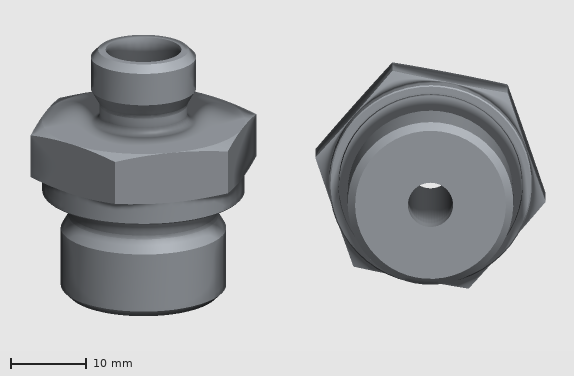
import cadquery as cq
import math

total_height = 34.0
hex_top = 24.0
hex_bottom = 17.0
collar_bottom = 14.0

hex_across_flats = 27.0
hex_chamfer_angle = 15.0
collar_diameter = 26.9
collar_edge_chamfer = 0.17

tube_stud_diameter = 14.0
tube_neck_diameter = 11.7
tube_stud_lower_edge = 28.6

port_stud_diameter = 22.0
port_neck_diameter = 19.7
port_stud_upper_edge = 9.0

stud_chamfer = 1.0
neck_fillet = 1.0
runout_angle = 30.0

bore_diameter = 6.0
socket_diameter = 8.0
socket_depth = 7.0
cone_mouth_diameter = 10.05
cone_half_angle = 12.0

groove_diameter = 24.5
groove_depth = 2.05
ring_outer_diameter = 24.3
ring_inner_diameter = port_neck_diameter
ring_protrusion = 0.3


def cone_length(large_diameter, small_diameter, half_angle):
    """Axial length of a cone between two diameters."""
    return (large_diameter - small_diameter) / 2 / math.tan(math.radians(half_angle))


def cylinder(diameter, bottom, top):
    return cq.Workplane("XY").workplane(offset=bottom).circle(diameter / 2).extrude(top - bottom)


def revolve_profile(points):
    """Solid of revolution about Z from (radius, height) points."""
    return cq.Workplane("XZ").polyline(points).close().revolve(360, (0, 0), (0, 1))


def edge_at(radius, height):
    """Selector for the circular edge of a given radius and height."""
    margin = 0.017
    return cq.selectors.BoxSelector(
        (-radius - margin, -radius - margin, height - margin),
        (radius + margin, radius + margin, height + margin),
        boundingbox=True,
    )


def make_hexagon():
    """Hexagon with corners on Y, its corners turned down at both ends."""
    corner_radius = hex_across_flats / math.sqrt(3)
    flat_radius = hex_across_flats / 2
    corner_drop = (corner_radius - flat_radius) * math.tan(math.radians(hex_chamfer_angle))
    prism = (
        cq.Workplane("XY").workplane(offset=hex_bottom)
        .polygon(6, 2 * corner_radius)
        .extrude(hex_top - hex_bottom)
        .rotate((0, 0, 0), (0, 0, 1), 30)
    )
    turned_envelope = revolve_profile([
        (0, hex_bottom),
        (flat_radius, hex_bottom),
        (corner_radius, hex_bottom + corner_drop),
        (corner_radius, hex_top - corner_drop),
        (flat_radius, hex_top),
        (0, hex_top),
    ])
    return prism.intersect(turned_envelope)


def make_collar():
    collar = cylinder(collar_diameter, collar_bottom, hex_bottom)
    return collar.faces("<Z").edges().chamfer(collar_edge_chamfer)


def make_stud(stud_diameter, neck_diameter, end, thread_edge, root):
    """Chamfered stud running from its free end, over a sloped run-out, to its neck root."""
    inward = math.copysign(1, root - end)
    stud_radius = stud_diameter / 2
    neck_radius = neck_diameter / 2
    runout_end = thread_edge + inward * cone_length(stud_diameter, neck_diameter, runout_angle)
    stud = revolve_profile([
        (0, end),
        (stud_radius - stud_chamfer, end),
        (stud_radius, end + inward * stud_chamfer),
        (stud_radius, thread_edge),
        (neck_radius, runout_end),
        (neck_radius, root),
        (0, root),
    ])
    return stud.edges(edge_at(neck_radius, runout_end)).fillet(neck_fillet)


def make_bore_cutter():
    """Through bore with a tube socket and a seating cone at the top."""
    cone_bottom = total_height - cone_length(cone_mouth_diameter, socket_diameter, cone_half_angle)
    socket_floor = total_height - socket_depth
    return revolve_profile([
        (0, 0),
        (bore_diameter / 2, 0),
        (bore_diameter / 2, socket_floor),
        (socket_diameter / 2, socket_floor),
        (socket_diameter / 2, cone_bottom),
        (cone_mouth_diameter / 2, total_height),
        (0, total_height),
    ])


def make_seal_groove_cutter():
    groove_floor = collar_bottom + groove_depth
    outer = cylinder(groove_diameter, collar_bottom, groove_floor)
    return outer.cut(cylinder(port_neck_diameter, collar_bottom, groove_floor))


def make_fitting():
    tube_stud = make_stud(
        tube_stud_diameter, tube_neck_diameter, total_height, tube_stud_lower_edge, hex_top
    )
    port_stud = make_stud(
        port_stud_diameter, port_neck_diameter, 0, port_stud_upper_edge, collar_bottom
    )
    body = make_hexagon().union(make_collar()).union(tube_stud).union(port_stud)
    body = body.edges(edge_at(tube_neck_diameter / 2, hex_top)).fillet(neck_fillet)
    return body.cut(make_seal_groove_cutter()).cut(make_bore_cutter())


def make_seal_ring():
    """Ring seated on the groove floor and standing slightly proud of the collar."""
    ring_bottom = collar_bottom - ring_protrusion
    ring_top = collar_bottom + groove_depth
    ring = cylinder(ring_outer_diameter, ring_bottom, ring_top)
    return ring.cut(cylinder(ring_inner_diameter, ring_bottom, ring_top))


fitting = make_fitting()
seal_ring = make_seal_ring()
result = cq.Compound.makeCompound([fitting.val(), seal_ring.val()])